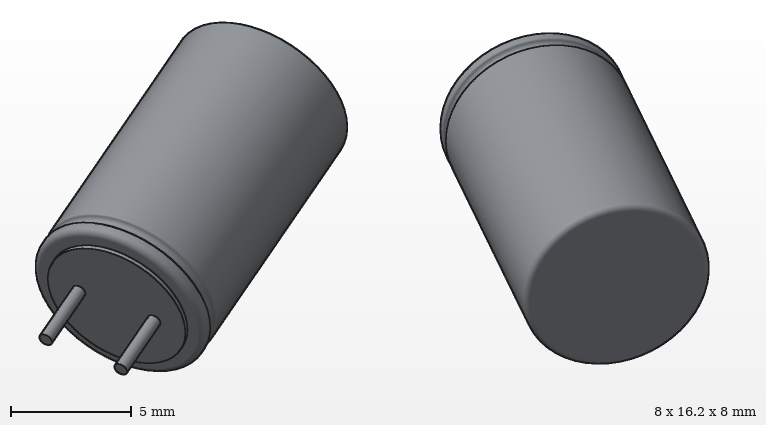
import cadquery as cq
import math

total_length = 16.2
can_radius = 4.0
back_round = 0.26
front_round = 0.29

groove_radius = 0.23
groove_lip_radius = 0.11
groove_setback = 0.81

plug_radius = 3.2
plug_height = 0.2

lead_diameter = 0.6
lead_spacing = 3.5
lead_length = 3.0

can_length = total_length - lead_length - plug_height


def make_can():
    """Revolve the can's half section, drawn as (radius, Y), about the Y axis."""
    diagonal = 1 - math.sqrt(0.5)

    centre_distance = groove_radius + groove_lip_radius
    half_opening = math.sqrt(centre_distance**2 - groove_lip_radius**2)
    tangent_share = groove_radius / centre_distance
    tangent_offset = half_opening * tangent_share
    tangent_radius = can_radius - groove_lip_radius * tangent_share

    lip_sweep = math.atan2(half_opening, groove_lip_radius)
    lip_mid_offset = half_opening - groove_lip_radius * math.sin(lip_sweep / 2)
    lip_mid_radius = can_radius - groove_lip_radius * (1 - math.cos(lip_sweep / 2))

    section = (
        cq.Workplane("XY")
        .lineTo(can_radius - front_round, 0)
        .threePointArc(
            (can_radius - front_round * diagonal, front_round * diagonal),
            (can_radius, front_round),
        )
        .lineTo(can_radius, groove_setback - half_opening)
        .threePointArc(
            (lip_mid_radius, groove_setback - lip_mid_offset),
            (tangent_radius, groove_setback - tangent_offset),
        )
        .threePointArc(
            (can_radius - groove_radius, groove_setback),
            (tangent_radius, groove_setback + tangent_offset),
        )
        .threePointArc(
            (lip_mid_radius, groove_setback + lip_mid_offset),
            (can_radius, groove_setback + half_opening),
        )
        .lineTo(can_radius, can_length - back_round)
        .threePointArc(
            (can_radius - back_round * diagonal, can_length - back_round * diagonal),
            (can_radius - back_round, can_length),
        )
        .lineTo(0, can_length)
        .close()
    )
    return section.revolve(360, (0, 0), (0, 1))


def make_plug():
    """Flat disc standing proud of the can's lead end."""
    return cq.Workplane("XZ").circle(plug_radius).extrude(plug_height)


def make_leads():
    """Two round wires side by side along X."""
    return (
        cq.Workplane("XZ", origin=(0, -plug_height, 0))
        .pushPoints([(side * lead_spacing / 2, 0) for side in (-1, 1)])
        .circle(lead_diameter / 2)
        .extrude(lead_length)
    )


result = make_can().union(make_plug()).union(make_leads())